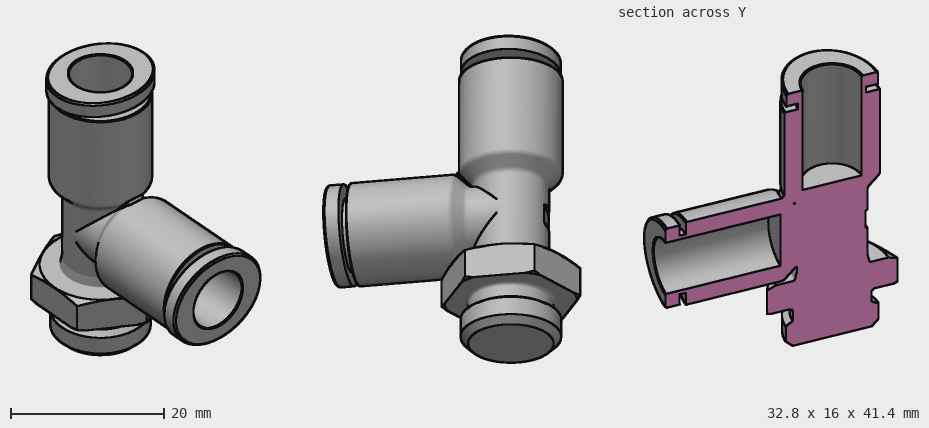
import cadquery as cq
import math


total_height = 41.4
branch_height = 17.8
port_length = total_height - branch_height

thread_radius = 6.6
neck_radius = 5.6
thread_top = 3.5
neck_bottom = 4.15
end_chamfer = thread_radius - neck_radius
neck_fillet = 0.45

hex_across_flats = 16.0
hex_bottom = 6.1
hex_top = 10.65
hex_top_face_radius = 7.95
hex_top_drop = 0.5
hex_bottom_face_radius = 8.7
hex_bottom_drop = 0.2

stem_radius = 5.0
stem_base_radius = 5.25
stem_base_fillet = 0.25
stem_taper_top = 12.1

body_radius = 6.8
shoulder_gap = 0.1
shoulder_fillet = 1.0
body_end = 20.7
body_edge_chamfer = 0.12
collar_radius = 4.85
cap_thickness = 2.05
cap_half_height = 6.5
cap_half_width = 7.5
cap_chamfer = 0.25
bore_radius = 4.15
bore_chamfer = 0.12
bore_floor = 7.33

web_width = 2.6
web_reach = 7.15

recess_floor_height = 2.55
recess_depth = 0.3


def revolve_profile(profile):
    """Close an outline of (radius, height) points onto the Z axis and turn it."""
    return profile.close().revolve(360, (0, 0, 0), (0, 1, 0))


def make_thread_end():
    return revolve_profile(
        cq.Workplane("XZ")
        .lineTo(thread_radius - end_chamfer, 0)
        .lineTo(thread_radius, end_chamfer)
        .lineTo(thread_radius, thread_top)
        .lineTo(neck_radius, neck_bottom)
        .lineTo(neck_radius, hex_bottom - neck_fillet)
        .radiusArc((neck_radius + neck_fillet, hex_bottom), neck_fillet)
        .lineTo(0, hex_bottom)
    )


def make_hexagon():
    corner_radius = hex_across_flats / math.sqrt(3)
    prism = (
        cq.Workplane("XY", origin=(0, 0, hex_bottom))
        .polygon(6, 2 * corner_radius)
        .extrude(hex_top - hex_bottom)
    )
    corner_trim = revolve_profile(
        cq.Workplane("XZ")
        .moveTo(0, hex_bottom)
        .lineTo(hex_bottom_face_radius, hex_bottom)
        .lineTo(corner_radius, hex_bottom + hex_bottom_drop)
        .lineTo(corner_radius, hex_top - hex_top_drop)
        .lineTo(hex_top_face_radius, hex_top)
        .lineTo(0, hex_top)
    )
    return prism.intersect(corner_trim)


def make_stem():
    return revolve_profile(
        cq.Workplane("XZ")
        .moveTo(0, hex_top)
        .lineTo(stem_base_radius + stem_base_fillet, hex_top)
        .radiusArc((stem_base_radius, hex_top + stem_base_fillet), stem_base_fillet)
        .lineTo(stem_radius, stem_taper_top)
        .lineTo(stem_radius, branch_height)
        .lineTo(0, branch_height)
    )


def make_port():
    """Solid port along +Z, starting at the crossing of the axes."""
    tangent = shoulder_fillet * math.tan(math.radians(22.5))
    tangent_leg = tangent * math.sin(math.radians(45))
    cone_start = stem_radius + shoulder_gap
    cone_end = body_radius + shoulder_gap
    body = revolve_profile(
        cq.Workplane("XZ")
        .lineTo(stem_radius, 0)
        .lineTo(stem_radius, cone_start - tangent)
        .radiusArc((stem_radius + tangent_leg, cone_start + tangent_leg), shoulder_fillet)
        .lineTo(body_radius - tangent_leg, cone_end - tangent_leg)
        .radiusArc((body_radius, cone_end + tangent), -shoulder_fillet)
        .lineTo(body_radius, body_end - body_edge_chamfer)
        .lineTo(body_radius - body_edge_chamfer, body_end)
        .lineTo(0, body_end)
    )
    cap_base = port_length - cap_thickness
    collar = cq.Workplane("XY", origin=(0, 0, body_end)).circle(collar_radius).extrude(cap_base - body_end)
    cap = (
        cq.Workplane("XY", origin=(0, 0, cap_base))
        .ellipse(cap_half_height, cap_half_width)
        .extrude(cap_thickness)
        .faces(">Z")
        .chamfer(cap_chamfer)
    )
    return body.union(collar).union(cap)


def make_bore():
    """Blind tube socket of a port, with its chamfered mouth."""
    return revolve_profile(
        cq.Workplane("XZ")
        .moveTo(0, bore_floor)
        .lineTo(bore_radius, bore_floor)
        .lineTo(bore_radius, port_length - bore_chamfer)
        .lineTo(bore_radius + bore_chamfer, port_length)
        .lineTo(0, port_length)
    )


def place_on_both_ports(shape):
    """Copy a +Z port shape to the top port and to the +X side port."""
    side = shape.rotate((0, 0, 0), (0, 1, 0), 90)
    return [copy.translate((0, 0, branch_height)) for copy in (shape, side)]


def make_web():
    web = (
        cq.Workplane("XZ")
        .moveTo(stem_radius, stem_radius)
        .lineTo(body_radius, web_reach)
        .lineTo(web_reach, body_radius)
        .close()
        .extrude(web_width / 2, both=True)
    )
    return web.translate((0, 0, branch_height))


def make_recess():
    floor_x = -(stem_radius - recess_depth)
    half_floor = recess_floor_height / 2
    half_mouth = half_floor + recess_depth
    cutter = (
        cq.Workplane("XZ")
        .moveTo(floor_x, -half_floor)
        .lineTo(-stem_radius, -half_mouth)
        .lineTo(-stem_radius, half_mouth)
        .lineTo(floor_x, half_floor)
        .close()
        .extrude(stem_radius, both=True)
    )
    return cutter.translate((0, 0, branch_height))


result = make_thread_end().union(make_hexagon()).union(make_stem())
for port in place_on_both_ports(make_port()):
    result = result.union(port)
result = result.union(make_web())
for bore in place_on_both_ports(make_bore()):
    result = result.cut(bore)
result = result.cut(make_recess())